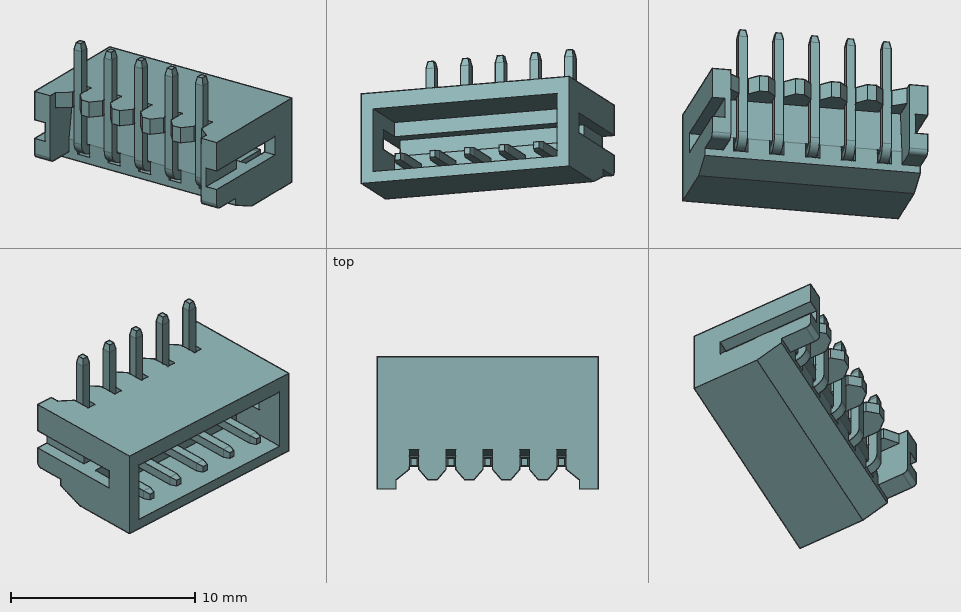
import cadquery as cq

width = 12.0
depth = 7.2
body_height = 5.0
overall_height = 7.9
half_width = width / 2

step_depth = 1.8
step_height = 1.02
bevel_height = 0.61
bevel_depth = 3.31
wing_round = 0.29

wing_width = 1.03
roof_thickness = 0.9
sill_height = 1.78
recess_top_depth = 2.15

tooth_tip_depth = 0.5
tooth_root_depth = 1.08
tooth_tip_width = 0.5

side_wall = 0.7
floor_thickness = bevel_height
cavity_front = 3.8

groove_bottom = 2.21
groove_top = 3.31
groove_rear = 5.59
window_front = 2.9

pin_count = 5
pin_pitch = width / (pin_count + 1)
pin_size = 0.5
pin_front = 1.22
pin_bottom = 1.15
pin_rear = 6.89
pin_bend_radius = 0.8
pin_tip_length = 0.41
pin_tip_width = 0.31
pin_tip_thickness = 0.36

notch_width = 0.79
notch_depth = 0.48

pin_positions = [(i - (pin_count - 1) / 2) * pin_pitch for i in range(pin_count)]


def box(x_range, y_range, z_range):
    """Axis-aligned block given by its limits along X, Y and Z."""
    (x0, x1), (y0, y1), (z0, z1) = x_range, y_range, z_range
    return cq.Workplane("XY").box(x1 - x0, y1 - y0, z1 - z0, centered=False).translate((x0, y0, z0))


def extrude_side_profile(profile, length):
    """Extrude a YZ profile along X, centred on X = 0."""
    return profile.extrude(length / 2, both=True)


def make_shell():
    """Solid housing with the stepped, bevelled underside."""
    profile = (
        cq.Workplane("YZ")
        .moveTo(0, body_height)
        .lineTo(0, step_height + wing_round)
        .radiusArc((wing_round, step_height), -wing_round)
        .lineTo(step_depth, step_height)
        .lineTo(step_depth, bevel_height)
        .lineTo(bevel_depth, 0)
        .lineTo(depth, 0)
        .lineTo(depth, body_height)
        .close()
    )
    return extrude_side_profile(profile, width)


def make_front_recess():
    """Space under the roof, between the wings, with a back wall that leans rearward."""
    roof_underside = body_height - roof_thickness
    profile = cq.Workplane("YZ").polyline([
        (0, 0),
        (step_depth, 0),
        (step_depth, sill_height),
        (recess_top_depth, roof_underside),
        (0, roof_underside),
    ]).close()
    return extrude_side_profile(profile, width - 2 * wing_width)


def make_roof_cutout():
    """Space in front of the roof teeth, with a slot for each pin."""
    wing_inside = half_width - wing_width
    outline = [(-wing_inside, 0), (-wing_inside, tooth_tip_depth)]
    for x in pin_positions:
        left = x - pin_size / 2
        right = x + pin_size / 2
        if x != pin_positions[0]:
            outline.append((x - (pin_pitch - tooth_tip_width) / 2, tooth_tip_depth))
        outline += [
            (left, tooth_root_depth),
            (left, recess_top_depth),
            (right, recess_top_depth),
            (right, tooth_root_depth),
        ]
        if x != pin_positions[-1]:
            outline.append((x + (pin_pitch - tooth_tip_width) / 2, tooth_tip_depth))
    outline += [(wing_inside, tooth_tip_depth), (wing_inside, 0)]
    return (
        cq.Workplane("XY", origin=(0, 0, body_height - roof_thickness))
        .polyline(outline)
        .close()
        .extrude(roof_thickness)
    )


def make_cavity():
    """Mating cavity, open at the rear face."""
    inside = half_width - side_wall
    return box((-inside, inside), (cavity_front, depth), (floor_thickness, body_height - roof_thickness))


def cut_side_grooves(body):
    """Groove in each side, opening into a window right across the housing."""
    groove_z = (groove_bottom, groove_top)
    groove_inside = half_width - side_wall
    for x_range in ((-half_width, -groove_inside), (groove_inside, half_width)):
        body = body.cut(box(x_range, (0, groove_rear), groove_z))
    return body.cut(box((-half_width, half_width), (window_front, groove_rear), groove_z))


def make_notch(x):
    """Notch in the sill around one pin bend."""
    return box(
        (x - notch_width / 2, x + notch_width / 2),
        (step_depth, step_depth + notch_depth),
        (step_height, sill_height),
    )


def make_pin_tip(base, end_size):
    """Tapered pin end, growing along the normal of its base plane to a rectangle of end_size."""
    return (
        base.rect(pin_size, pin_size)
        .workplane(offset=pin_tip_length)
        .rect(*end_size)
        .loft(ruled=True)
    )


def make_pin(x):
    """Bent square pin: an upright leg and a leg reaching into the cavity, both with tapered tips."""
    pin_back = pin_front + pin_size
    leg_top = pin_bottom + pin_size
    upright_shoulder = overall_height - pin_tip_length
    rear_shoulder = pin_rear - pin_tip_length
    inner_radius = pin_bend_radius - pin_size
    profile = (
        cq.Workplane("YZ")
        .moveTo(pin_front, upright_shoulder)
        .lineTo(pin_front, pin_bottom + pin_bend_radius)
        .radiusArc((pin_front + pin_bend_radius, pin_bottom), -pin_bend_radius)
        .lineTo(rear_shoulder, pin_bottom)
        .lineTo(rear_shoulder, leg_top)
        .lineTo(pin_back + inner_radius, leg_top)
        .radiusArc((pin_back, leg_top + inner_radius), inner_radius)
        .lineTo(pin_back, upright_shoulder)
        .close()
    )
    upright_tip = make_pin_tip(
        cq.Workplane("XY", origin=(0, pin_front + pin_size / 2, upright_shoulder)),
        (pin_tip_width, pin_tip_thickness),
    )
    rear_tip = make_pin_tip(
        cq.Workplane("ZX", origin=(0, rear_shoulder, pin_bottom + pin_size / 2)),
        (pin_tip_thickness, pin_tip_width),
    )
    pin = extrude_side_profile(profile, pin_size).union(upright_tip).union(rear_tip)
    return pin.translate((x, 0, 0))


result = make_shell().cut(make_front_recess()).cut(make_roof_cutout()).cut(make_cavity())
result = cut_side_grooves(result)
for pin_x in pin_positions:
    result = result.cut(make_notch(pin_x))
    result = result.union(make_pin(pin_x))